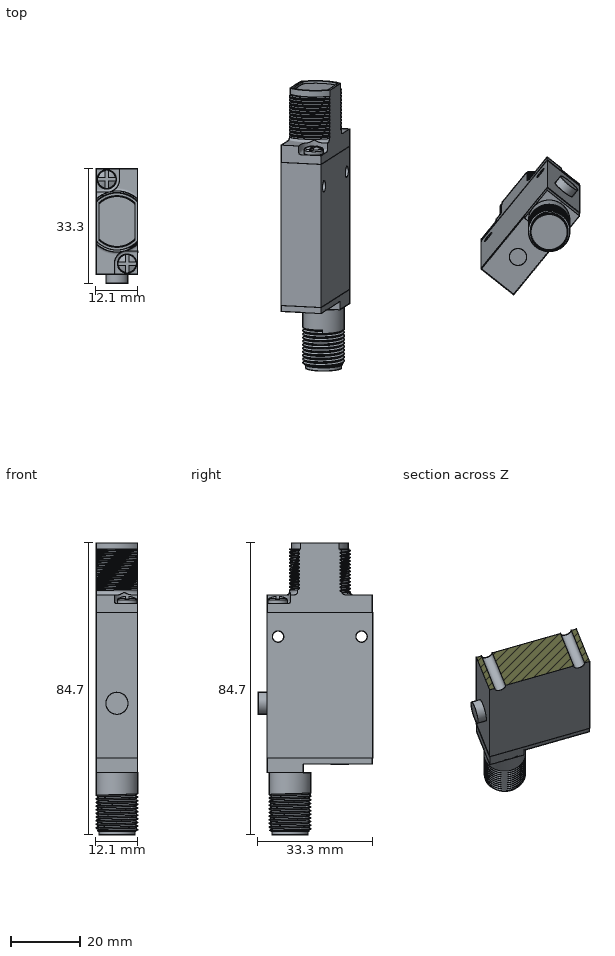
import cadquery as cq


width = 12.06
housing_depth = 30.73
housing_height = 42.18
mount_hole_diameter = 3.2
mount_hole_spacing = 24.2
mount_hole_drop = 7.0

cover_depth = 30.5
flange_height = 5.08
turret_height = 15.11
turret_radius = 8.85
lip_radius = 8.25
lip_height = 1.8
foot_fillet = 0.76
turret_thread_pitch = 1.0
turret_thread_root = 8.42
turret_root_width = 0.25
turret_thread_bottom = 14.03
turret_thread_length = 13.0

window_radius = 7.25
window_seat_radius = 7.5
window_width = 10.5
window_recess = 0.6
window_thickness = 1.0

screw_offset_x = 2.95
screw_offset_y = 12.2
screw_radius = 2.8
screw_side_height = 1.0
screw_shoulder_radius = 2.6
screw_shoulder_height = 1.5
screw_height = 2.25
screw_dome_bulge = 0.12
screw_slot_floor = 1.3
screw_slot_width = 1.0
pocket_radius = 3.7
pocket_depth = 2.54
pocket_fillet = 0.76

plate_thickness = 1.78
block_thickness = 4.22
block_back_y = -4.75

connector_y = -8.65
connector_radius = 12.09 / 2
connector_length = 18.1
tip_radius = 5.25
tip_height = 1.0
connector_neck_radius = 5.48
connector_neck_top = 1.35
connector_thread_pitch = 1.05
connector_thread_root = 5.4
connector_root_width = 0.1
connector_thread_start = -0.05
connector_thread_length = 11.85

groove_overshoot = 0.02
mouth_ratio = 0.95

button_radius = 3.2
button_length = 2.54
button_z = 15.85

plug_radius = 2.5
plug_y = 5.75
plug_depth = 1.0
plug_projection = 0.12

head_z = housing_height
flange_top = head_z + flange_height
turret_top = flange_top + turret_height
pocket_floor = flange_top - pocket_depth
connector_top = -block_thickness
connector_end = connector_top - connector_length


def thread_groove(outer_radius, root_radius, root_width, pitch, length):
    """A right-handed V groove winding up around Z, starting at Z = 0 on the +X side."""
    crest_radius = outer_radius + groove_overshoot
    half_mouth = mouth_ratio * pitch / 2
    path = cq.Wire.makeHelix(pitch, length, root_radius)
    return (
        cq.Workplane("XZ")
        .moveTo(root_radius, -root_width / 2)
        .lineTo(root_radius, root_width / 2)
        .lineTo(crest_radius, half_mouth)
        .lineTo(crest_radius, -half_mouth)
        .close()
        .sweep(cq.Workplane(path), isFrenet=True)
    )


def flat_sided_disc(radius, flat_width, bottom, height):
    """A disc with two flats facing +X and -X."""
    disc = cq.Workplane("XY").workplane(offset=bottom).circle(radius).extrude(height)
    sides = cq.Workplane("XY").workplane(offset=bottom).rect(flat_width, 2 * radius).extrude(height)
    return disc.intersect(sides)


def make_housing():
    block = cq.Workplane("XY").rect(width, housing_depth).extrude(housing_height)
    holes = (
        cq.Workplane("YZ")
        .workplane(offset=-width / 2)
        .pushPoints([(side * mount_hole_spacing / 2, housing_height - mount_hole_drop) for side in (-1, 1)])
        .circle(mount_hole_diameter / 2)
        .extrude(width)
    )
    return block.cut(holes)


def make_turret():
    """The threaded turret with its lip and flared foot, standing on the flange."""
    foot_radius = turret_radius + foot_fillet
    foot_top = flange_top + foot_fillet
    lip_bottom = turret_top - lip_height
    arc_drop = foot_fillet * (1 - 0.5**0.5)
    turret = (
        cq.Workplane("XZ")
        .moveTo(0, head_z)
        .lineTo(foot_radius, head_z)
        .lineTo(foot_radius, flange_top)
        .threePointArc((turret_radius + arc_drop, flange_top + arc_drop), (turret_radius, foot_top))
        .lineTo(turret_radius, lip_bottom)
        .lineTo(lip_radius, lip_bottom)
        .lineTo(lip_radius, turret_top)
        .lineTo(0, turret_top)
        .close()
        .revolve(360, (0, 0, 0), (0, 1, 0))
    )
    groove = thread_groove(
        turret_radius, turret_thread_root, turret_root_width, turret_thread_pitch, turret_thread_length
    )
    turret = turret.cut(groove.translate((0, 0, turret_top - turret_thread_bottom)))
    sides = cq.Workplane("XY").workplane(offset=head_z).rect(width, cover_depth).extrude(turret_top - head_z)
    return turret.intersect(sides)


def make_pocket():
    """The cutter for the screw pocket at the (-X, +Y) corner, open to both outer sides."""
    reach = pocket_radius + screw_radius + foot_fillet
    return (
        cq.Workplane("XY")
        .workplane(offset=pocket_floor)
        .center(-screw_offset_x, screw_offset_y)
        .moveTo(-reach, reach)
        .lineTo(-reach, -pocket_radius)
        .lineTo(0, -pocket_radius)
        .radiusArc((pocket_radius, 0), -pocket_radius)
        .lineTo(pocket_radius, reach)
        .close()
        .extrude(pocket_depth + foot_fillet)
        .edges("<Z and (not <X) and (not >Y)")
        .fillet(pocket_fillet)
    )


def make_head():
    flange = cq.Workplane("XY").workplane(offset=head_z).rect(width, cover_depth).extrude(flange_height)
    head = flange.union(make_turret())
    for angle in (0, 180):
        head = head.cut(make_pocket().rotate((0, 0, 0), (0, 0, 1), angle))
    seat_depth = window_recess + window_thickness
    return head.cut(flat_sided_disc(window_seat_radius, window_width, turret_top - seat_depth, seat_depth))


def make_window():
    bottom = turret_top - window_recess - window_thickness
    return flat_sided_disc(window_radius, window_width, bottom, window_thickness)


def make_screw():
    """A cross-slotted screw head, standing on Z = 0 around the Z axis."""
    head = (
        cq.Workplane("XZ")
        .lineTo(screw_radius, 0)
        .lineTo(screw_radius, screw_side_height)
        .lineTo(screw_shoulder_radius, screw_shoulder_height)
        .sagittaArc((0, screw_height), -screw_dome_bulge)
        .close()
        .revolve(360, (0, 0, 0), (0, 1, 0))
    )
    slots = cq.Workplane("XY").workplane(offset=screw_slot_floor)
    for size in ((2 * screw_radius, screw_slot_width), (screw_slot_width, 2 * screw_radius)):
        head = head.cut(slots.rect(*size).extrude(screw_height))
    return head


def make_base():
    front_y = -cover_depth / 2
    back_y = cover_depth / 2
    base = (
        cq.Workplane("YZ")
        .workplane(offset=-width / 2)
        .moveTo(front_y, 0)
        .lineTo(back_y, 0)
        .lineTo(back_y, -plate_thickness)
        .lineTo(block_back_y, -plate_thickness)
        .lineTo(block_back_y, -block_thickness)
        .lineTo(front_y, -block_thickness)
        .close()
        .extrude(width)
    )
    return base.cut(make_plug())


def make_plug():
    return (
        cq.Workplane("XY")
        .workplane(offset=-plate_thickness - plug_projection)
        .center(0, plug_y)
        .circle(plug_radius)
        .extrude(plug_projection + plug_depth)
    )


def make_connector():
    tip = cq.Workplane("XY").circle(tip_radius).extrude(tip_height)
    neck = tip.faces(">Z").workplane().circle(connector_neck_radius).extrude(connector_neck_top - tip_height)
    barrel = neck.faces(">Z").workplane().circle(connector_radius)
    barrel = barrel.extrude(connector_length - connector_neck_top)
    groove = thread_groove(
        connector_radius,
        connector_thread_root,
        connector_root_width,
        connector_thread_pitch,
        connector_thread_length,
    )
    connector = tip.union(neck).union(barrel).cut(groove.translate((0, 0, connector_thread_start)))
    return connector.translate((0, connector_y, connector_end))


def make_button():
    return (
        cq.Workplane("XZ")
        .workplane(offset=housing_depth / 2)
        .center(0, button_z)
        .circle(button_radius)
        .extrude(button_length)
    )


housing = make_housing()
head = make_head()
window = make_window()
base = make_base()
plug = make_plug()
connector = make_connector()
button = make_button()
screws = []
for side in (-1, 1):
    screw = make_screw().translate((side * screw_offset_x, -side * screw_offset_y, pocket_floor))
    screws.append(screw.val())

result = cq.Compound.makeCompound(
    [
        housing.val(),
        head.val(),
        window.val(),
        base.val(),
        plug.val(),
        connector.val(),
        button.val(),
        *screws,
    ]
)